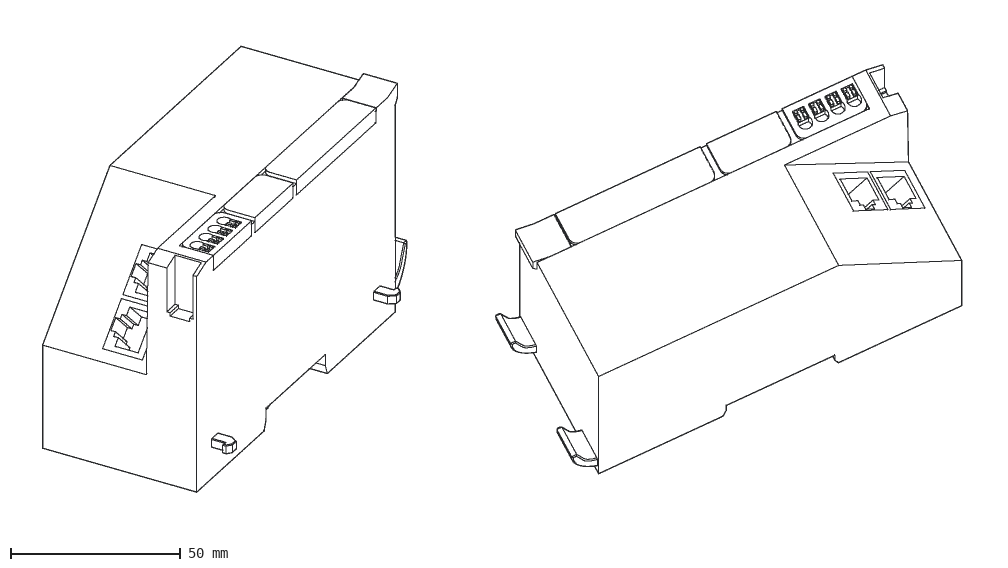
import cadquery as cq


width = 52.0
depth = 119.6
height = 75.8
slope_rise = 40.5
slope_wall_top_x = 35.7
slope_wall_foot_x = 35.0
front_chamfer_run = 5.6
front_chamfer_drop = 2.0

slot_left = 42.0
slot_width = 8.8
slot_depth = 5.0
slot_floor = 58.8
slot_groove_width = 6.5
slot_groove_drop = 1.2

notch_front = 41.8
notch_length = 35.7
notch_height = 7.2
notch_flare = 1.2
notch_flare_height = 3.3
claw_reach = 3.8
claw_tip = 1.9
claw_drop = 1.2
claw_thickness = 0.4

strip_left = 40.5
strip_front = 10.1
groove_depth = 1.3
panel_height = 5.1
panel_corner = 2.5
panel_spans = [(strip_front, 33.1), (35.0, 58.0), (60.1, 107.8)]

latch_front = 108.2
latch_slope_front = 114.8
latch_overhang = 1.4
latch_crest = 0.5
latch_rise = 1.7
latch_land_drop = 0.1
latch_nose_bottom = 72.8
latch_root = 70.7

terminal_count = 4
terminal_pitch = 5.4
first_terminal_y = 12.9
terminal_x = 45.0
terminal_hole_diameter = 4.2
terminal_hole_depth = 3.8
terminal_flat_x = 46.3
block_height = 0.3
block_pit_depth = 1.3
block_pit_length = 3.6
block_spans_x = [(0.3, 1.8), (2.4, 3.3)]
block_width_y = 0.9
block_gap_y = 1.2
block_pit_width = 3.7

socket_width = 13.4
socket_length = 16.0
socket_depth = 12.8
socket_x = 25.5
socket_count = 2
socket_pitch = 17.3
lower_socket_up = 11.9
opening_depth = 10.0
opening_right = 30.0
opening_steps = [(22.3, 12.5), (20.7, 7.0), (19.2, 4.1)]

lever_width = 10.5
lever_lefts = [0.8, 41.0]
lever_end = 127.9
lever_tip_width = 1.7
lever_tip_z = 20.0
lever_edge_chamfer = 0.4
lever_root_bottom = 4.2
lever_root_top = 10.0
lever_outer_middle = (125.5, 10.5)
lever_inner_middle = (121.4, 11.0)
lever_inner_knee = (123.5, 13.4)

hook_tip_x = 59.0
hook_reach = hook_tip_x - width
hook_bottom = 10.6
hook_thickness = 3.1
hook_inset = 9.0
hook_shaft = 4.1
hook_barb = 1.3
hook_barb_x = 4.5
hook_barb_length = 1.2
hook_taper = 1.5
hook_taper_x = 4.7
hook_shoulder = 0.3
hook_edge_chamfer = 0.3


def box(x0, x1, y0, y1, z0, z1):
    """Axis-aligned block between the given limits."""
    return cq.Workplane("XY").box(x1 - x0, y1 - y0, z1 - z0, centered=False).translate((x0, y0, z0))


def side_profile(points, x0, x1):
    """Extrude a closed outline of (y, z) points from x0 to x1."""
    return cq.Workplane("YZ", origin=(x0, 0, 0)).polyline(points).close().extrude(x1 - x0)


def slope_plane():
    """Plane of the connector face: origin at its foot, local Y up the slope, normal outward."""
    return cq.Plane(origin=(0, 0, height - slope_rise), xDir=(1, 0, 0), normal=(0, -1, 1))


def slope_block(x0, x1, centre_up, length, into):
    """Block sunk square into the connector face."""
    return (
        cq.Workplane(slope_plane())
        .center((x0 + x1) / 2, centre_up)
        .rect(x1 - x0, length)
        .extrude(-into)
    )


def socket_centres():
    """Distances of the socket centres from the foot of the slope."""
    return [lower_socket_up + i * socket_pitch for i in range(socket_count)]


def socket_envelope(centre_up):
    half = socket_width / 2
    return slope_block(socket_x - half, socket_x + half, centre_up, socket_length, socket_depth)


def panel_envelope(front, back):
    """Panel block with its two left corners rounded."""
    block = box(strip_left, width, front, back, height - panel_height, height)
    return block.edges("|Z and <X").fillet(panel_corner)



def housing_shell():
    foot = height - slope_rise
    outline = [
        (0, 0),
        (depth, 0),
        (depth, height),
        (front_chamfer_run, height),
        (0, height - front_chamfer_drop),
    ]
    shell = side_profile(outline, 0, width)
    wedge = side_profile([(0, foot), (slope_rise, height), (0, height)], 0, slope_wall_top_x)
    wall_limit = (
        cq.Workplane("XZ")
        .polyline([(0, foot), (slope_wall_foot_x, foot), (slope_wall_top_x, height), (0, height)])
        .close()
        .extrude(-slope_rise)
    )
    return shell.cut(wedge.intersect(wall_limit))


def front_slot():
    centre = slot_left + slot_width / 2
    half_groove = slot_groove_width / 2
    slot = box(slot_left, slot_left + slot_width, 0, slot_depth, slot_floor, height)
    groove = box(
        centre - half_groove, centre + half_groove, 0, slot_depth, slot_floor - slot_groove_drop, slot_floor
    )
    return slot.union(groove)


def rail_notch():
    back = notch_front + notch_length
    outline = [
        (notch_front - notch_flare, 0),
        (notch_front, notch_flare_height),
        (notch_front, notch_height),
        (back, notch_height),
        (back, notch_flare_height),
        (back + notch_flare, 0),
    ]
    return side_profile(outline, 0, width)


def rail_claw(left):
    """Hooked rib under the notch ceiling, with a slit above its arm."""
    low = notch_height - claw_drop
    tip = notch_front + claw_reach
    bend = tip - claw_tip
    outline = [
        (notch_front, low),
        (bend, low),
        (tip, notch_height),
        (bend, notch_height),
        (bend, low + claw_thickness),
        (notch_front, low + claw_thickness),
    ]
    return side_profile(outline, left, left + lever_width)


def latch():
    """Ramp that rises towards the rear and overhangs the back face."""
    back = depth + latch_overhang
    land = height - latch_land_drop
    outline = [
        (latch_front, latch_root),
        (depth, latch_root),
        (back, latch_nose_bottom),
        (back, height + latch_rise),
        (back - latch_crest, height + latch_rise),
        (latch_slope_front, land),
        (latch_front, land),
    ]
    return side_profile(outline, strip_left, width)


def make_housing():
    body = housing_shell()
    body = body.cut(front_slot()).cut(rail_notch())
    body = body.cut(box(strip_left, width, strip_front, depth, height - groove_depth, height))
    body = body.union(latch())
    for left in lever_lefts:
        body = body.union(rail_claw(left))
    for front, back in panel_spans:
        body = body.cut(panel_envelope(front, back))
    for centre_up in socket_centres():
        body = body.cut(socket_envelope(centre_up))
    return body



def terminal_hole(y):
    """Round blind hole with its right side cut flat."""
    radius = terminal_hole_diameter / 2
    floor = height - terminal_hole_depth
    hole = cq.Workplane("XY", origin=(terminal_x, y, floor)).circle(radius).extrude(terminal_hole_depth)
    return hole.intersect(box(strip_left, terminal_flat_x, y - radius, y + radius, floor, height))


def block_pit(y):
    """Rectangular pit beside the hole, in which the blocks stand."""
    half = block_pit_width / 2
    return box(
        terminal_flat_x,
        terminal_flat_x + block_pit_length,
        y - half,
        y + half,
        height - block_pit_depth,
        height,
    )


def terminal_blocks(y):
    """Four small blocks that rise from the pit to just above the panel."""
    blocks = []
    for side in (-1, 1):
        centre = y + side * (block_width_y + block_gap_y) / 2
        for start, end in block_spans_x:
            blocks.append(
                box(
                    terminal_flat_x + start,
                    terminal_flat_x + end,
                    centre - block_width_y / 2,
                    centre + block_width_y / 2,
                    height - block_pit_depth,
                    height + block_height,
                )
            )
    return blocks


def make_terminal_panel(front, back):
    panel = panel_envelope(front, back)
    for i in range(terminal_count):
        y = first_terminal_y + i * terminal_pitch
        panel = panel.cut(terminal_hole(y)).cut(block_pit(y))
        for block in terminal_blocks(y):
            panel = panel.union(block)
    return panel



def make_socket(centre_up):
    """Socket block with a stepped opening for the plug and its latch tab."""
    socket = socket_envelope(centre_up)
    for left, length in opening_steps:
        socket = socket.cut(slope_block(left, opening_right, centre_up, length, opening_depth))
    return socket



def make_lever(left):
    """Curved lever standing on the back face."""
    profile = (
        cq.Workplane("YZ", origin=(left, 0, 0))
        .moveTo(depth, lever_root_bottom)
        .threePointArc(lever_outer_middle, (lever_end, lever_tip_z))
        .lineTo(lever_end - lever_tip_width, lever_tip_z)
        .lineTo(*lever_inner_knee)
        .threePointArc(lever_inner_middle, (depth, lever_root_top))
        .close()
    )
    lever = profile.extrude(lever_width)
    return lever.faces("<X or >X").edges("not <Y").chamfer(lever_edge_chamfer)



def front_hook():
    """Snap hook on the right face with its barb towards the front."""
    shaft_front = hook_inset
    shaft_back = hook_inset + hook_shaft
    barb_end = hook_barb_x + hook_barb_length
    outline = [
        (0, shaft_front),
        (hook_barb_x, shaft_front),
        (hook_barb_x, shaft_front - hook_barb),
        (barb_end, shaft_front - hook_barb),
        (hook_reach, shaft_front + hook_shoulder),
        (hook_reach, shaft_back - hook_taper),
        (hook_taper_x, shaft_back),
        (0, shaft_back),
    ]
    root = cq.Workplane("XY", origin=(width, 0, hook_bottom))
    hook = root.polyline(outline).close().extrude(hook_thickness)
    return hook.faces(">Z or <Z").edges("not <X").chamfer(hook_edge_chamfer)


housing = make_housing()
panels = [make_terminal_panel(*panel_spans[0])]
panels += [panel_envelope(front, back) for front, back in panel_spans[1:]]
sockets = [make_socket(centre_up) for centre_up in socket_centres()]
levers = [make_lever(left) for left in lever_lefts]
hooks = [front_hook(), front_hook().mirror("XZ", (0, depth / 2, 0))]

bodies = [housing, *panels, *sockets, *levers, *hooks]
result = cq.Compound.makeCompound([body.solids().val() for body in bodies])